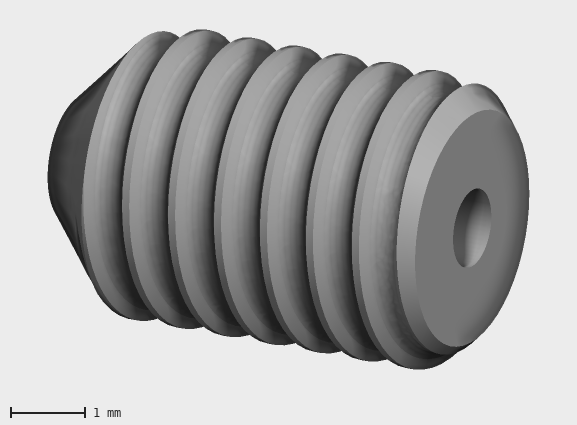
import cadquery as cq
import math

length = 6.0
major_diameter = 4.0
point_diameter = 1.75
rear_chamfer = 0.39
bore_diameter = 1.08
countersink_depth = 0.2

pitch = major_diameter * 0.7 / 4
thread_depth = 0.275
crest_width = 0.11
flank_angle = math.radians(30)
groove_phase = 0.23
thread_turns = 9
cutter_overshoot = 0.06

major_radius = major_diameter / 2
point_radius = point_diameter / 2
bore_radius = bore_diameter / 2
root_radius = major_radius - thread_depth


def screw_blank():
    """Revolve the coned, chamfered and bored body about the X axis."""
    cone_length = major_radius - point_radius
    outline = [
        (countersink_depth, bore_radius),
        (0, point_radius),
        (cone_length, major_radius),
        (length - rear_chamfer, major_radius),
        (length, major_radius - rear_chamfer),
        (length, bore_radius),
    ]
    return cq.Workplane("XY").polyline(outline).close().revolve(360, (0, 0, 0), (1, 0, 0))


def groove_turn():
    """Sweep the groove section along one helix turn, then lay it along the X axis."""
    groove_half_width = (pitch - crest_width) / 2
    root_arc = (groove_half_width - thread_depth * math.tan(flank_angle)) / (
        math.cos(flank_angle) - (1 - math.sin(flank_angle)) * math.tan(flank_angle)
    )
    tangent_half_width = root_arc * math.cos(flank_angle)
    tangent_radius = root_radius + root_arc * (1 - math.sin(flank_angle))
    outer_radius = major_radius + cutter_overshoot
    outer_half_width = groove_half_width + cutter_overshoot * math.tan(flank_angle)

    path = cq.Wire.makeHelix(pitch, pitch, major_radius)
    section = (
        cq.Workplane("XZ")
        .moveTo(outer_radius, -outer_half_width)
        .lineTo(tangent_radius, -tangent_half_width)
        .threePointArc((root_radius, 0), (tangent_radius, tangent_half_width))
        .lineTo(outer_radius, outer_half_width)
        .close()
    )
    groove = section.sweep(cq.Workplane(path), isFrenet=True)
    return groove.rotate((0, 0, 0), (0, 1, 0), 90).translate((groove_phase, 0, 0))


result = screw_blank()
for turn in range(thread_turns):
    result = result.cut(groove_turn().translate((turn * pitch, 0, 0)))